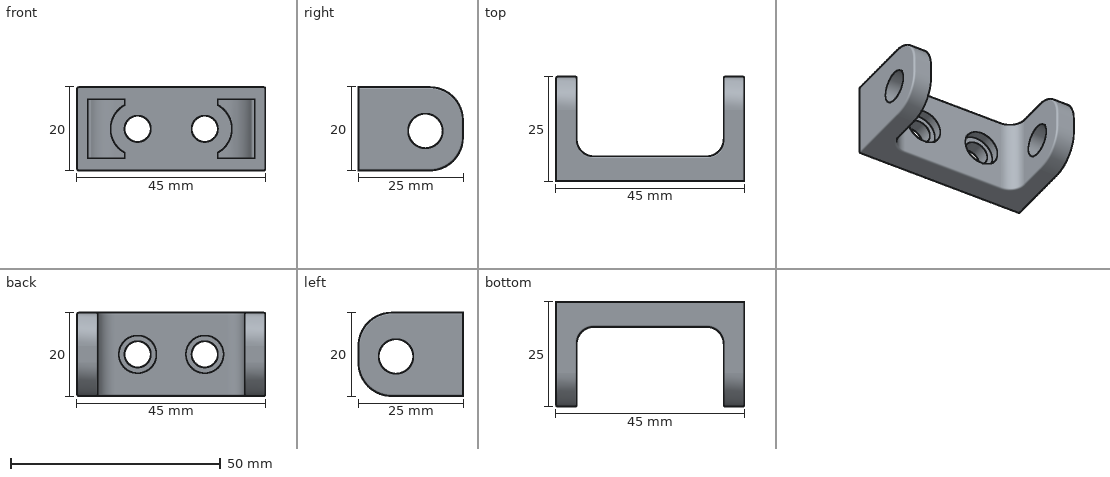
import cadquery as cq
import math

length = 45.0
depth = 25.0
height = 20.0
arm_thickness = 5.0
base_thickness = 6.0
inside_corner_radius = 4.0
arm_tip_radius = 8.0
edge_radius = 0.5

pivot_diameter = 8.2
pivot_y = 16.0
pivot_z = 9.5

screw_diameter = 6.2
screw_offset = 8.0
recess_diameter = 9.0
recess_depth = 2.45
boss_radius = 6.5

pocket_wall = 2.5
pocket_flat_depth = 3.0
pocket_height = 14.05
pocket_tip_radius = 0.5

corner_x = length / 2 - arm_thickness - inside_corner_radius
middle_z = height / 2


def make_body():
    """U-shaped bracket with rounded arm tips and softened edges."""
    block = cq.Workplane("XY").box(length, depth, height, centered=(True, False, False))
    block = block.edges("|X and >Y").fillet(arm_tip_radius)
    gap_width = length - 2 * arm_thickness
    gap = (
        cq.Workplane("XY")
        .box(gap_width, depth, height, centered=(True, False, False))
        .edges("|Z and <Y")
        .fillet(inside_corner_radius)
        .translate((0, base_thickness, 0))
    )
    body = block.cut(gap)
    body = body.faces("<X or >X").edges("not <Y").fillet(edge_radius)
    gap_region = cq.selectors.BoxSelector(
        (-gap_width / 2 - edge_radius / 2, base_thickness / 2, -height),
        (gap_width / 2 + edge_radius / 2, 2 * depth, 2 * height),
    )
    return body.edges(gap_region).edges("not |Z").fillet(edge_radius)


def cylinder_along_y(x, diameter, start, end):
    """Cylinder at mid height running from y = start to y = end."""
    return (
        cq.Workplane("XZ", origin=(x, start, middle_z))
        .circle(diameter / 2)
        .extrude(start - end)
    )


def make_pocket():
    """Right-hand hollow: flat roof under the base, then curving up into the arm."""
    outer_x = length / 2 - pocket_wall
    roof_radius = outer_x - corner_x
    roof_center_y = pocket_flat_depth + roof_radius
    inner_x = screw_offset + screw_diameter / 2
    tip_x = outer_x - pocket_tip_radius
    centers_distance = roof_radius + pocket_tip_radius
    run = (tip_x - corner_x) / centers_distance
    rise = math.sqrt(1 - run**2)
    tip_y = roof_center_y - rise * centers_distance
    tip_contact = (corner_x + run * roof_radius, roof_center_y - rise * roof_radius)
    half_angle = math.asin(run) / 2
    roof_middle = (
        corner_x + roof_radius * math.sin(half_angle),
        roof_center_y - roof_radius * math.cos(half_angle),
    )
    tip_angle = math.atan2(rise, -run) / 2
    tip_middle = (
        tip_x + pocket_tip_radius * math.cos(tip_angle),
        tip_y + pocket_tip_radius * math.sin(tip_angle),
    )
    hollow = (
        cq.Workplane("XY", origin=(0, 0, (height - pocket_height) / 2))
        .moveTo(inner_x, 0)
        .lineTo(inner_x, pocket_flat_depth)
        .lineTo(corner_x, pocket_flat_depth)
        .threePointArc(roof_middle, tip_contact)
        .threePointArc(tip_middle, (outer_x, tip_y))
        .lineTo(outer_x, 0)
        .close()
        .extrude(pocket_height)
    )
    return hollow.cut(cylinder_along_y(screw_offset, 2 * boss_radius, 0, depth))


body = make_body()

pocket = make_pocket()
body = body.cut(pocket).cut(pocket.mirror("YZ"))

for screw_x in (-screw_offset, screw_offset):
    body = body.cut(cylinder_along_y(screw_x, screw_diameter, 0, base_thickness))
    recess_start = base_thickness - recess_depth
    body = body.cut(cylinder_along_y(screw_x, recess_diameter, recess_start, base_thickness))

pivot = (
    cq.Workplane("YZ", origin=(-length / 2, pivot_y, pivot_z))
    .circle(pivot_diameter / 2)
    .extrude(length)
)
result = body.cut(pivot)